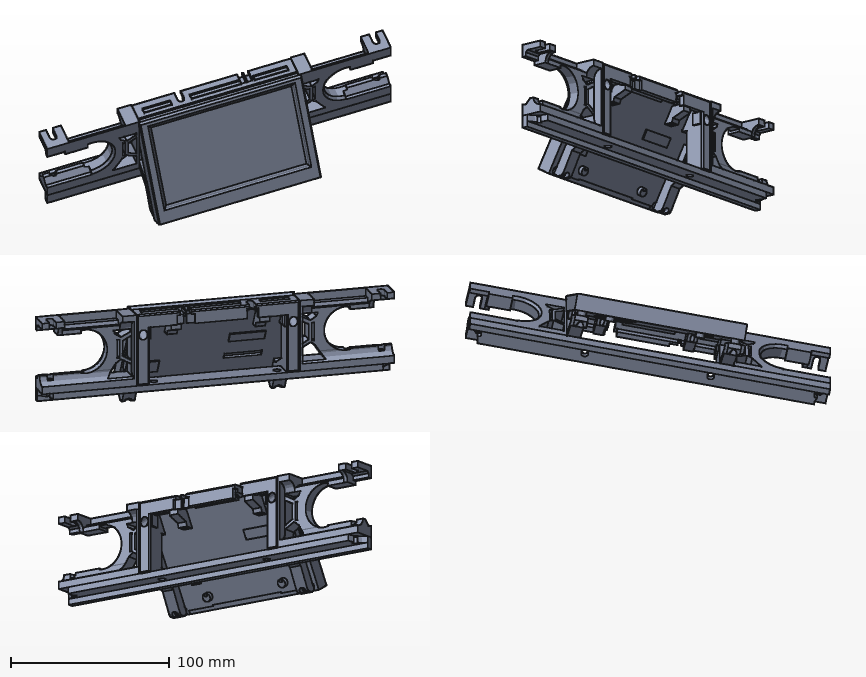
import cadquery as cq
import math

LENGTH = 231.5
HALF_LENGTH = LENGTH / 2
DEPTH = 14.8
TOP = 46.8
TILT = math.radians(30)
COS, SIN, TAN = math.cos(TILT), math.sin(TILT), math.tan(TILT)

STRIP_BOTTOM = -4.2
LIP_BOTTOM = -7.9
LIP_X = 11.0
RAIL_CORNER = 7.5
RAIL_HOLE_D = 4.6
RAIL_HOLE_X = 6.7
RAIL_HOLE_Y = 40.5

END_INNER = 53.7
WEB_X = 5.8
WEB_TOP = 39.1
LEDGE_Z = 41.5
REAR_WALL_X = 14.0
BLOCK_Y = 101.0
BRIDGE_Y = 63.0
FLANGE_BOTTOM = 42.6
FLOOR_EDGE_Z = 4.9
FLOOR_Z = 5.5
PORT_R = 14.4
FLARE = 1.5
FLARE_X = 12.7
PORT_Y = 85.7
PORT_Z = 23.9
PORT_END_Y = 88.5
WINDOW_BOTTOM, WINDOW_TOP = 10.5, 36.1
LEG_BOTTOM = 38.7
LEG_X = 11.8
LEG_BEVEL = 1.5
LEG_Y_START = 103.8
BRACE_WALL_Y = 55.5
INNER_WALL = 1.6
SCREW_X, SCREW_Y = 6.7, 108.9
SLOT_D = 4.5
SCREW_D = 3.5
SCREW_POCKET_D = 4.6
SCREW_POCKET_Z = 7.2

CENTER_HALF = 53.5
LEG_WIDTH = 8.3
LEG_DEPTH = 13.0
LEG_INNER = CENTER_HALF - LEG_WIDTH
LEG_Y = CENTER_HALF - LEG_WIDTH / 2
EDGE_CHAMFER = 1.0
BAR_BOTTOM = 38.0
BAR_WALL = 3.5
ROOF_BOTTOM = 42.2
ROOF_REAR_X = 12.0
CHEEK_X = 17.0
CHEEK_TOP = 43.8
BORE_D = 5.5
BORE_DEPTH = 9.3
BORE_Z = 33.4
PILOT_D = 2.5
PILOT_DEPTH = 10.2
PAD_WIDTH = 1.2
PAD_REAR_X = 7.0
PAD_BOTTOM = 30.0
ROOF_SLOTS = [(26.2, 48.9), (-16.5, 17.1), (-48.5, -29.6)]
ROOF_SLOT_FRONT = 5.3
ROOF_SLOT_REAR = 9.3
NOTCH_END_X = 8.8
NOTCH_TOP = 44.2
GROOVES = [(21.5, 25.0), (17.4, 20.8)]
RECESS = (15.0, 26.9)
RECESS_DEPTH = 1.9
SLIT = (20.2, 22.2)
SLIT_TOP = 43.0
OPEN_NOTCH_Y = -22.7
OPEN_NOTCH_WIDTH = 4.5
MOUTH_WIDTH = 7.6
TAB_YS = (27.3, -30.8)
TAB_WIDTH = 6.5
TAB_TOP, TAB_BOTTOM = 39.4, 28.7
TAB_HOLE_Z = 30.0
ARM_SEAT_D = 4.5
ARM_SEAT_DEPTH = 6.5

CASE_HALF = 54.7
CASE_RIGHT = 52.5
CASE_TOP = 47.7
CASE_LIP_X = 12.5
CASE_THICKNESS = 10.5
CASE_LENGTH = 70.9
CASE_CHAMFER = 0.7
TIP_CHAMFER = 1.5
CORE_TOP = 40.8
HOOK_X = 7.0
HOOK_TOP = 47.5
HOOK_FOOT_Z = 39.4
RIM_HEIGHT = 0.2
RIM_STEPS = [(45.0, -16.0), (26.5, -15.3)]
STANDOFF_LENGTH = 3.0
STANDOFF_D = 5.5
STANDOFF_HOLE_D = 2.0
STANDOFF_HOLE_DEPTH = 4.6
STANDOFF_Z = -10.2
ARM_STANDOFF_Z = -15.3
RIB_TOP, RIB_BOTTOM = 22.0, 3.0
RIB_HEIGHT = 4.9
RIB_WIDTH = 1.9
BACK_SLOT = (-37.5, -12.7, 3.0, 6.5)
BACK_SLOT_DEPTH = 1.9
BACK_PADS = [(-37.0, -13.5, 17.0, 22.7), (30.0, 36.5, -2.3, 6.0)]
BACK_PAD_HEIGHT = 1.0
WINDOW_LOWER_MARGIN = 8.5
WINDOW_LENGTH = 58.5
WINDOW_HALF = 49.5
BEVEL = 1.2
SCREEN_INSET = 2.3
SCREEN_DEPTH = 2.0
SCREEN_THICKNESS = 1.2

FRONT_TOP = (CASE_RIGHT - CASE_LENGTH * SIN, CASE_TOP + TIP_CHAMFER * SIN)
FRONT_LOW = (CASE_RIGHT, FRONT_TOP[1] - CASE_LENGTH * COS)
BACK_LOW = (FRONT_LOW[0] - CASE_THICKNESS * COS, FRONT_LOW[1] - CASE_THICKNESS * SIN)
TIP_BACK = (FRONT_TOP[0] - TIP_CHAMFER * COS, CASE_TOP)
TIP_FRONT = (FRONT_TOP[0] + TIP_CHAMFER * SIN, FRONT_TOP[1] - TIP_CHAMFER * COS)


def back_x(z, offset=0.0):
    """X of the plane `offset` behind the tilted back of the case."""
    return BACK_LOW[0] - (z - BACK_LOW[1]) * TAN - offset / COS


def back_z(x):
    """Height of the tilted back of the case at x."""
    return BACK_LOW[1] + (BACK_LOW[0] - x) / TAN


def top_face_z(x):
    """Height of the case's upper end face, which is square to its back."""
    return FRONT_TOP[1] - (FRONT_TOP[0] - x) * TAN


def prism(points, y0, y1):
    """XZ outline extruded from y0 to y1."""
    return cq.Workplane("XZ", origin=(0, y0, 0)).polyline(points).close().extrude(y0 - y1)


def box(x0, x1, y0, y1, z0, z1):
    return cq.Workplane("XY").box(x1 - x0, y1 - y0, z1 - z0, centered=False).translate((x0, y0, z0))


def tilted_plane(x, y, z, sign=1):
    """Plane square to the display axis; sign -1 faces the back."""
    return cq.Workplane(cq.Plane(origin=(x, y, z), xDir=(0, 1, 0), normal=(sign * COS, 0, sign * SIN)))


def tilted_rod(x, y, z, diameter, length, sign=1):
    return tilted_plane(x, y, z, sign).circle(diameter / 2).extrude(length)


def upright_rod(x, y, diameter, z0, z1):
    return cq.Workplane("XY", origin=(x, y, z0)).circle(diameter / 2).extrude(z1 - z0)


def make_rail():
    strip = (
        cq.Workplane("XY")
        .moveTo(LIP_X, -HALF_LENGTH)
        .lineTo(LIP_X, HALF_LENGTH)
        .radiusArc((0, HALF_LENGTH - RAIL_CORNER), LIP_X)
        .lineTo(0, -HALF_LENGTH + RAIL_CORNER)
        .radiusArc((LIP_X, -HALF_LENGTH), LIP_X)
        .close()
        .extrude(STRIP_BOTTOM)
    )
    rail = strip.union(box(LIP_X, DEPTH, -HALF_LENGTH, HALF_LENGTH, LIP_BOTTOM, 0))
    for side in (1, -1):
        rail = rail.cut(upright_rod(RAIL_HOLE_X, side * RAIL_HOLE_Y, RAIL_HOLE_D, STRIP_BOTTOM, 0))
        rail = rail.cut(upright_rod(SCREW_X, side * SCREW_Y, SCREW_D, STRIP_BOTTOM, 0))
    return rail


def brace_openings():
    """Openings that leave an X-shaped brace beside the inner wall."""
    outlines = [
        [(67.2, 36.1), (BRACE_WALL_Y, 36.1), (BRACE_WALL_Y, 34.7), (62.3, 31.3), (66.2, 33.8)],
        [(64.9, 17.5), (64.9, 29.6), (63.2, 29.6), (63.2, 17.5)],
        [(61.1, 28.7), (BRACE_WALL_Y, 31.7), (BRACE_WALL_Y, 15.5), (61.1, 18.8)],
        [(71.5, FLOOR_Z), (65.5, 14.4), (62.3, 16.7), (BRACE_WALL_Y, 13.0), (BRACE_WALL_Y, FLOOR_Z)],
    ]
    cuts = cq.Workplane("YZ")
    for outline in outlines:
        cuts = cuts.add(cq.Workplane("YZ").polyline(outline).close().extrude(DEPTH))
    return cuts.combine()


def make_end_module():
    """End module on the +Y side."""
    inner, outer = END_INNER, HALF_LENGTH

    module = box(0, WEB_X, inner, outer, 0, FLOOR_EDGE_Z + WEB_X)
    for y0, y1 in ((inner, BRIDGE_Y), (BLOCK_Y, outer)):
        module = module.union(box(0, WEB_X, y0, y1, FLANGE_BOTTOM - WEB_X, TOP))
    for axis_z in (FLOOR_EDGE_Z + WEB_X, FLANGE_BOTTOM - WEB_X):
        trough = cq.Workplane("XZ", origin=(0, inner, axis_z)).circle(WEB_X).extrude(inner - outer)
        module = module.cut(trough)

    web_section = [
        (WEB_X, 0), (DEPTH, 0), (DEPTH, TOP), (REAR_WALL_X, TOP), (REAR_WALL_X, LEDGE_Z),
        (9.7, LEDGE_Z), (8.3, WEB_TOP), (WEB_X, WEB_TOP),
    ]
    module = module.union(prism(web_section, inner, outer))
    for y0, y1 in ((inner, BRIDGE_Y), (BLOCK_Y, outer)):
        module = module.union(box(WEB_X, DEPTH, y0, y1, FLANGE_BOTTOM - WEB_X, TOP))
    module = module.union(box(0, DEPTH, inner, inner + INNER_WALL, 0, TOP))

    port = cq.Workplane("YZ").center(PORT_Y, PORT_Z).circle(PORT_R).extrude(DEPTH)
    port = port.intersect(box(0, DEPTH, inner, PORT_END_Y, 0, TOP))
    flare = (
        cq.Workplane("YZ", origin=(FLARE_X, PORT_Y, PORT_Z))
        .circle(PORT_R)
        .workplane(offset=DEPTH - FLARE_X)
        .circle(PORT_R + FLARE)
        .loft(ruled=True)
        .intersect(box(0, DEPTH, inner, PORT_END_Y, 0, TOP))
    )
    module = module.cut(port).cut(flare)
    module = module.cut(box(0, DEPTH, PORT_Y, outer, WINDOW_BOTTOM, WINDOW_TOP))
    module = module.cut(box(0, DEPTH, LEG_Y_START, outer, WINDOW_BOTTOM, LEG_BOTTOM))
    under_flange = [
        (0, LEG_BOTTOM), (0, FLANGE_BOTTOM), (LEG_X - LEG_BEVEL, FLANGE_BOTTOM),
        (LEG_X, FLANGE_BOTTOM - LEG_BEVEL), (LEG_X, LEG_BOTTOM),
    ]
    module = module.cut(prism(under_flange, LEG_Y_START, outer))
    v_groove = [(8.3, WINDOW_BOTTOM), (12.0, 7.0), (DEPTH, 7.6), (DEPTH, WINDOW_BOTTOM)]
    module = module.cut(prism(v_groove, PORT_Y, outer))
    module = module.cut(brace_openings())

    module = module.cut(upright_rod(SCREW_X, SCREW_Y, SLOT_D, FLANGE_BOTTOM, TOP))
    half_slot = SLOT_D / 2
    module = module.cut(box(0, SCREW_X, SCREW_Y - half_slot, SCREW_Y + half_slot, FLANGE_BOTTOM, TOP))
    module = module.cut(upright_rod(SCREW_X, SCREW_Y, SCREW_D, 0, WINDOW_BOTTOM))
    return module.cut(upright_rod(SCREW_X, SCREW_Y, SCREW_POCKET_D, SCREW_POCKET_Z, WINDOW_BOTTOM))


def make_arm(y0, y1):
    """Bent arm that carries the lower edge of the case."""
    knee_z, tip_z = 0.5, -18.5
    outline = [
        (LEG_DEPTH, 5.5), (26.2, -1.2), (back_x(knee_z, STANDOFF_LENGTH), knee_z),
        (back_x(tip_z, STANDOFF_LENGTH), tip_z), (37.8, -20.5), (33.8, -20.5),
        (32.5, -19.2), (25.5, -6.0), (DEPTH, -0.2), (DEPTH, 0), (LEG_DEPTH, 0),
    ]
    return prism(outline, y0, y1)


def make_center_frame():
    roof = [
        (0, BAR_BOTTOM), (0, TOP), (ROOF_REAR_X, TOP), (ROOF_REAR_X, CHEEK_TOP), (CHEEK_X, CHEEK_TOP),
        (CHEEK_X, ROOF_BOTTOM), (BAR_WALL, ROOF_BOTTOM), (BAR_WALL, BAR_BOTTOM),
    ]
    leg = [
        (0, 0), (0, TOP), (ROOF_REAR_X, TOP), (ROOF_REAR_X, CHEEK_TOP), (CHEEK_X, CHEEK_TOP),
        (CHEEK_X, back_z(CHEEK_X)), (LEG_DEPTH, back_z(CHEEK_X)), (LEG_DEPTH, 0),
    ]
    frame = prism(roof, -CENTER_HALF, CENTER_HALF)
    for y0 in (-CENTER_HALF, LEG_INNER):
        frame = frame.union(prism(leg, y0, y0 + LEG_WIDTH))
    frame = frame.faces("<X").edges("|Z or >Z or <Z").chamfer(EDGE_CHAMFER)
    for side in (1, -1):
        pad = box(EDGE_CHAMFER, PAD_REAR_X, LEG_INNER - PAD_WIDTH, LEG_INNER, PAD_BOTTOM, BAR_BOTTOM)
        frame = frame.union(pad if side > 0 else pad.mirror("XZ"))

    for y in TAB_YS:
        tab = [
            (EDGE_CHAMFER, TAB_TOP), (EDGE_CHAMFER, 34.7), (9.7, 31.5), (10.7, TAB_BOTTOM),
            (back_x(TAB_BOTTOM), TAB_BOTTOM), (back_x(TAB_TOP), TAB_TOP),
        ]
        frame = frame.union(prism(tab, y - TAB_WIDTH / 2, y + TAB_WIDTH / 2))
        frame = frame.cut(tilted_rod(back_x(TAB_HOLE_Z), y, TAB_HOLE_Z, PILOT_D, DEPTH, -1))

    slot = [
        (ROOF_SLOT_FRONT, TOP), (HOOK_X, ROOF_BOTTOM),
        (ROOF_SLOT_REAR, ROOF_BOTTOM), (ROOF_SLOT_REAR, TOP),
    ]
    for y0, y1 in ROOF_SLOTS:
        frame = frame.cut(prism(slot, y0, y1))

    for y0, y1 in GROOVES:
        frame = frame.cut(box(0, NOTCH_END_X, y0, y1, NOTCH_TOP, TOP))
    frame = frame.cut(box(0, RECESS_DEPTH, *RECESS, BAR_BOTTOM, NOTCH_TOP))
    frame = frame.cut(box(0, BAR_WALL, *SLIT, BAR_BOTTOM, SLIT_TOP))

    notch_r = OPEN_NOTCH_WIDTH / 2
    notch_x = NOTCH_END_X - notch_r
    frame = frame.cut(box(0, notch_x, OPEN_NOTCH_Y - notch_r, OPEN_NOTCH_Y + notch_r, BAR_BOTTOM, TOP))
    frame = frame.cut(upright_rod(notch_x, OPEN_NOTCH_Y, OPEN_NOTCH_WIDTH, BAR_BOTTOM, TOP))
    mouth_y = OPEN_NOTCH_Y - MOUTH_WIDTH / 2
    mouth = box(0, BAR_WALL, mouth_y, mouth_y + MOUTH_WIDTH, BAR_BOTTOM, NOTCH_TOP)
    frame = frame.cut(mouth)

    for side in (1, -1):
        y = side * LEG_Y
        frame = frame.union(make_arm(y - LEG_WIDTH / 2, y + LEG_WIDTH / 2))
        bore = tilted_rod(0, y, BORE_Z, BORE_D, BORE_DEPTH)
        mouth = tilted_rod(0, y, BORE_Z, BORE_D, BORE_D, -1)
        frame = frame.cut(bore.union(mouth))
        frame = frame.cut(tilted_rod(0, y, BORE_Z, PILOT_D, BORE_DEPTH + PILOT_DEPTH))
        x = back_x(ARM_STANDOFF_Z)
        frame = frame.cut(tilted_rod(x, y, ARM_STANDOFF_Z, PILOT_D, DEPTH, -1))
        seat_x = x - ARM_SEAT_DEPTH * COS
        seat_z = ARM_STANDOFF_Z - ARM_SEAT_DEPTH * SIN
        frame = frame.cut(tilted_rod(seat_x, y, seat_z, ARM_SEAT_D, DEPTH, -1))
    return frame


def window_block(inset0, depth0, inset1, depth1):
    """Block with tapered sides, sunk behind the case front between two depths."""
    center = WINDOW_LOWER_MARGIN + WINDOW_LENGTH / 2
    x = FRONT_LOW[0] - center * SIN - depth0 * COS
    z = FRONT_LOW[1] + center * COS - depth0 * SIN
    return (
        tilted_plane(x, 0, z, -1)
        .rect(2 * (WINDOW_HALF - inset0), WINDOW_LENGTH - 2 * inset0)
        .workplane(offset=depth1 - depth0)
        .rect(2 * (WINDOW_HALF - inset1), WINDOW_LENGTH - 2 * inset1)
        .loft(ruled=True)
    )


def make_screen():
    return window_block(SCREEN_INSET, SCREEN_DEPTH, SCREEN_INSET, SCREEN_DEPTH + SCREEN_THICKNESS)


def back_patch(y0, y1, z0, z1, thickness, sign):
    """Rectangle on the tilted back, extruded into the case (sign 1) or out of it (sign -1)."""
    middle = (z0 + z1) / 2
    plane = tilted_plane(back_x(middle), (y0 + y1) / 2, middle, sign)
    return plane.rect(y1 - y0, (z1 - z0) / COS).extrude(thickness)


def make_case():
    outline = [
        (CHEEK_X, CHEEK_TOP), (TIP_BACK[0], CHEEK_TOP), TIP_BACK, TIP_FRONT,
        FRONT_LOW, BACK_LOW, (CHEEK_X, back_z(CHEEK_X)),
    ]
    case = prism(outline, -CASE_HALF, CASE_HALF)
    front = cq.selectors.DirectionMinMaxSelector(cq.Vector(COS, 0, SIN))
    case = case.faces(front).edges("not #Z").edges("not |Y").chamfer(CASE_CHAMFER)

    lip = [
        (TIP_BACK[0], CHEEK_TOP), (CASE_LIP_X, CHEEK_TOP),
        (CASE_LIP_X, top_face_z(CASE_LIP_X)), TIP_BACK,
    ]
    case = case.union(prism(lip, -CENTER_HALF, CENTER_HALF))

    wedge = [(CHEEK_X, back_z(CHEEK_X)), (back_x(CORE_TOP), CORE_TOP), (CHEEK_X, CORE_TOP)]
    case = case.union(prism(wedge, -LEG_INNER, LEG_INNER))
    hook_foot = [
        (HOOK_X, ROOF_BOTTOM), (ROOF_SLOT_REAR, ROOF_BOTTOM),
        (11.5, CORE_TOP), (back_x(HOOK_FOOT_Z), HOOK_FOOT_Z),
    ]
    for y0, y1 in ROOF_SLOTS:
        case = case.union(prism(hook_foot, max(y0, -LEG_INNER), min(y1, LEG_INNER)))
        case = case.union(box(HOOK_X, ROOF_SLOT_REAR, y0, y1, ROOF_BOTTOM, HOOK_TOP))

    rib = [
        (back_x(RIB_TOP), RIB_TOP), (back_x(RIB_BOTTOM), RIB_BOTTOM),
        (back_x(RIB_BOTTOM) - RIB_HEIGHT * COS, RIB_BOTTOM - RIB_HEIGHT * SIN),
        (back_x(RIB_TOP) - RIB_HEIGHT * COS, RIB_TOP - RIB_HEIGHT * SIN),
    ]
    for y0 in (-CENTER_HALF, CENTER_HALF - RIB_WIDTH):
        case = case.union(prism(rib, y0, y0 + RIB_WIDTH))
    for half_width, z in RIM_STEPS:
        rim = [
            BACK_LOW, (back_x(z), z), (back_x(z) - RIM_HEIGHT * COS, z - RIM_HEIGHT * SIN),
            (BACK_LOW[0] - RIM_HEIGHT * COS, BACK_LOW[1] - RIM_HEIGHT * SIN),
        ]
        case = case.union(prism(rim, -half_width, half_width))
    standoffs = [(y, STANDOFF_Z) for y in TAB_YS] + [(y, ARM_STANDOFF_Z) for y in (LEG_Y, -LEG_Y)]
    for y, z in standoffs:
        case = case.union(tilted_rod(back_x(z), y, z, STANDOFF_D, STANDOFF_LENGTH, -1))
        case = case.cut(tilted_rod(back_x(z, STANDOFF_LENGTH), y, z, STANDOFF_HOLE_D, STANDOFF_HOLE_DEPTH))

    case = case.cut(back_patch(*BACK_SLOT, BACK_SLOT_DEPTH, 1))
    for patch in BACK_PADS:
        case = case.union(back_patch(*patch, BACK_PAD_HEIGHT, -1))

    case = case.cut(window_block(0, 0, BEVEL, BEVEL))
    case = case.cut(window_block(BEVEL, BEVEL, SCREEN_INSET, SCREEN_DEPTH))
    return case.cut(make_screen())


rail = make_rail()
plus_y_end = make_end_module()
minus_y_end = plus_y_end.mirror("XZ")
center_frame = make_center_frame()
case = make_case()
screen = make_screen()

result = cq.Compound.makeCompound(
    [rail.val(), plus_y_end.val(), minus_y_end.val(), center_frame.val(), case.val(), screen.val()]
)